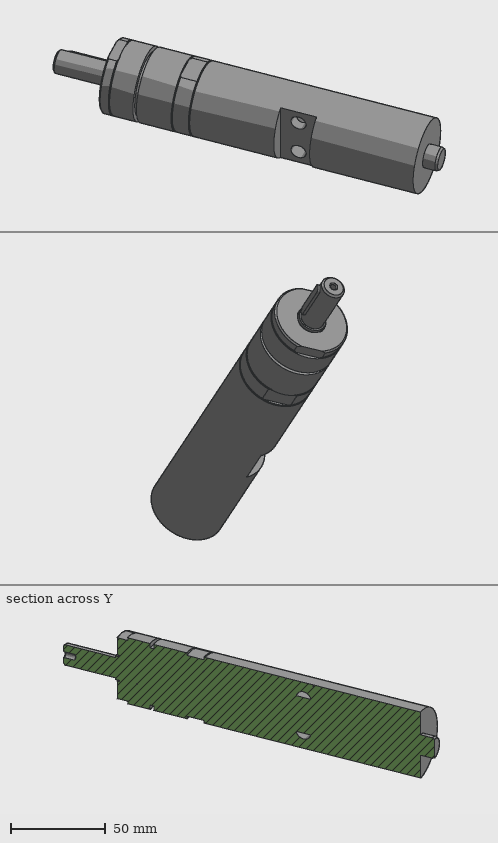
import cadquery as cq

total_length = 217.5
collar_start = 30.5
body_start = 31.5
front_flat_end = 37.6
ring_groove_start = 51.0
ring_groove_width = 2.0
rear_flat_start = 72.5
rear_flat_end = 82.2
body_end = 209.2

body_diameter = 41.5
shaft_diameter = 13.0
collar_diameter = 15.0
face_recess_diameter = 16.0
ring_groove_diameter = 36.0
relief_diameter = 40.9

face_recess_depth = 1.0
relief_width = 0.7
cut_overlap = 2.2
body_chamfer = 0.9
shaft_chamfer = 1.0
rear_shaft_chamfer_length = 1.3
rear_shaft_chamfer_height = 0.7

across_flats = 38.3

center_hole_diameter = 3.3
center_hole_depth = 6.5
countersink_diameter = 4.5
drill_tip_depth = 0.9

key_start = 3.0
key_length = 24.5
key_width = 5.0
key_top = 7.6

pocket_start = 130.5
pocket_length = 20.2
pocket_floor = 10.5
mount_hole_diameter = 8.5
mount_hole_spacing = 20.7
mount_hole_depth = 18.5
hole_floor_diameter = 26.0
hole_floor_offset = 6.5


def cylinder(start, length, diameter):
    """Solid cylinder on the X axis."""
    return cq.Workplane("YZ", origin=(start, 0, 0)).circle(diameter / 2).extrude(length)


def ring_cut(start, width, floor_diameter):
    """Ring that cuts a groove down to the floor diameter."""
    return cylinder(start, width, body_diameter + cut_overlap).cut(cylinder(start, width, floor_diameter))


def flats_cut(start, end):
    """Pair of blocks that leave two parallel wrench flats."""
    length = end - start
    outside = cq.Workplane("XY").box(length, 2 * body_diameter, 2 * body_diameter)
    kept = cq.Workplane("XY").box(length, 2 * body_diameter, across_flats)
    return outside.cut(kept).translate(((start + end) / 2, 0, 0))


def make_body():
    """Main barrel with its grooves, wrench flats and front face recess."""
    body = cylinder(body_start, body_end - body_start, body_diameter)
    body = body.faces("<X").chamfer(body_chamfer)
    body = body.cut(cylinder(body_start, face_recess_depth, face_recess_diameter))
    body = body.cut(ring_cut(ring_groove_start, ring_groove_width, ring_groove_diameter))
    for start in (front_flat_end - relief_width, rear_flat_start, rear_flat_end):
        body = body.cut(ring_cut(start, relief_width, relief_diameter))
    body = body.cut(flats_cut(body_start, front_flat_end))
    return body.cut(flats_cut(rear_flat_start, rear_flat_end))


def center_hole_cut():
    """Countersunk hole with a drill-point bottom, turned about the X axis."""
    hole_radius = center_hole_diameter / 2
    countersink_radius = countersink_diameter / 2
    return (
        cq.Workplane("XY")
        .lineTo(0, countersink_radius)
        .lineTo(countersink_radius - hole_radius, hole_radius)
        .lineTo(center_hole_depth, hole_radius)
        .lineTo(center_hole_depth + drill_tip_depth, 0)
        .close()
        .revolve(360, (0, 0, 0), (1, 0, 0))
    )


def make_drive_shaft():
    """Keyed front shaft with its collar seated in the face recess."""
    length = body_start + face_recess_depth
    shaft = cylinder(0, length, shaft_diameter).faces("<X").chamfer(shaft_chamfer)
    shaft = shaft.union(cylinder(collar_start, length - collar_start, collar_diameter))
    key = (
        cq.Workplane("XZ", origin=(key_start + key_length / 2, 0, 0))
        .slot2D(key_length, key_width)
        .extrude(-key_top)
    )
    return shaft.union(key).cut(center_hole_cut())


def make_rear_shaft():
    """Plain stub on the rear face."""
    shaft = cylinder(body_end, total_length - body_end, shaft_diameter)
    return shaft.faces(">X").chamfer(rear_shaft_chamfer_length, rear_shaft_chamfer_height)


def mounting_pocket_cut():
    """Pocket with a flat floor, and two holes that stop at a cylindrical floor along X."""
    center_x = pocket_start + pocket_length / 2
    depth = body_diameter - pocket_floor
    pocket = cq.Workplane("XY").box(pocket_length, depth, 2 * body_diameter)
    pocket = pocket.translate((center_x, -pocket_floor - depth / 2, 0))
    holes = (
        cq.Workplane("XZ", origin=(center_x, -pocket_floor, 0))
        .rarray(2.2, mount_hole_spacing, 1, 2)
        .circle(mount_hole_diameter / 2)
        .extrude(-mount_hole_depth)
    )
    rounded_floor = cylinder(pocket_start, pocket_length, hole_floor_diameter)
    rounded_floor = rounded_floor.translate((0, hole_floor_offset, 0))
    return pocket.union(holes.cut(rounded_floor))


result = make_body().union(make_drive_shaft()).union(make_rear_shaft()).cut(mounting_pocket_cut())